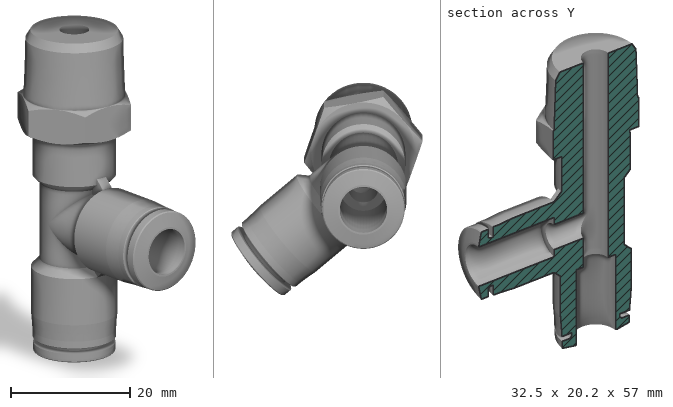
import cadquery as cq
import math


top_z = 33.2
thread_top_radius = 7.35
thread_start_radius = 8.2
thread_root_radius = 8.55
thread_chamfer_height = 1.4
hex_top_z = 21.8
hex_bottom_z = 15.75
hex_corner_diameter = 20.2
hex_chamfer_angle = 30

neck_radius = 5.8
upper_body_radius = 7.0
upper_cone_end_z = 7.7

arm_length = 23.8
arm_radius = 7.25
arm_cone_end = 8.5
taper_start = 16.65
taper_end = 19.6
arm_rim_radius = 7.0
groove_start = 20.9
groove_radius = 9.9 / 2
collar_start = 21.85
collar_radius = 13.8 / 2
collar_face_start = 23.35
collar_shoulder_radius = 6.7
collar_edge_start = 23.2
collar_face_radius = 4.3
rim_chamfer = 0.1
flare_start = 21.5
flare_radius = 5.25

flow_radius = 5.0 / 2
tube_radius = 7.9 / 2
tube_stop = arm_cone_end
web_thickness = 2.0


def arm():
    """Solid push-in arm running from the origin along +Z."""
    cone_start = arm_cone_end - (arm_radius - neck_radius)
    profile = [
        (0, 0),
        (neck_radius, 0),
        (neck_radius, cone_start),
        (arm_radius, arm_cone_end),
        (arm_radius, taper_start),
        (arm_rim_radius, taper_end),
        (arm_rim_radius, groove_start - rim_chamfer),
        (arm_rim_radius - rim_chamfer, groove_start),
        (groove_radius, groove_start),
        (groove_radius, flare_start),
        (flare_radius, collar_start),
        (collar_radius, collar_start),
        (collar_radius, collar_edge_start),
        (collar_shoulder_radius, collar_face_start),
        (collar_face_radius, arm_length),
        (0, arm_length),
    ]
    return cq.Workplane("XZ").polyline(profile).close().revolve(360, (0, 0), (0, 1))


def arm_bore():
    """Tube socket followed by the narrower flow passage, along +Z."""
    passage = cq.Workplane("XY").circle(flow_radius).extrude(arm_length)
    socket = cq.Workplane("XY").workplane(offset=tube_stop).circle(tube_radius)
    return passage.union(socket.extrude(arm_length - tube_stop))


def downward(shape):
    return shape.rotate((0, 0, 0), (1, 0, 0), 180)


def sideways(shape):
    return shape.rotate((0, 0, 0), (0, 1, 0), 90)


def upper_run():
    """Neck, shoulder and tapered thread above the origin."""
    cone_start_z = upper_cone_end_z - (upper_body_radius - neck_radius)
    profile = [
        (0, 0),
        (neck_radius, 0),
        (neck_radius, cone_start_z),
        (upper_body_radius, upper_cone_end_z),
        (upper_body_radius, hex_top_z),
        (thread_root_radius, hex_top_z),
        (thread_start_radius, top_z - thread_chamfer_height),
        (thread_top_radius, top_z),
        (0, top_z),
    ]
    return cq.Workplane("XZ").polyline(profile).close().revolve(360, (0, 0), (0, 1))


def hexagon():
    """Hexagon with corners on Y, its corners turned off at both ends."""
    corner_radius = hex_corner_diameter / 2
    flat_radius = corner_radius * math.cos(math.radians(30))
    drop = (corner_radius - flat_radius) * math.tan(math.radians(hex_chamfer_angle))
    prism = (
        cq.Workplane("XY").workplane(offset=hex_bottom_z)
        .polygon(6, hex_corner_diameter).extrude(hex_top_z - hex_bottom_z)
        .rotate((0, 0, 0), (0, 0, 1), 30)
    )
    turned_profile = [
        (0, hex_bottom_z),
        (flat_radius, hex_bottom_z),
        (corner_radius, hex_bottom_z + drop),
        (corner_radius, hex_top_z - drop),
        (flat_radius, hex_top_z),
        (0, hex_top_z),
    ]
    turned = cq.Workplane("XZ").polyline(turned_profile).close().revolve(360, (0, 0), (0, 1))
    return prism.intersect(turned)


def corner_webs():
    """Triangular plate whose 45 degree edges bridge the run and branch shoulders."""
    reach = arm_cone_end + arm_radius
    outer_x = arm_cone_end
    edge_z = reach - outer_x
    inner_x = upper_body_radius
    inner_z = reach - inner_x
    outline = [
        (0, -inner_z),
        (inner_x, -inner_z),
        (outer_x, -edge_z),
        (outer_x, edge_z),
        (inner_x, inner_z),
        (0, inner_z),
    ]
    return cq.Workplane("XZ").polyline(outline).close().extrude(web_thickness / 2, both=True)


body = upper_run().union(downward(arm())).union(sideways(arm()))
body = body.union(hexagon()).union(corner_webs())

upper_passage = cq.Workplane("XY").circle(flow_radius).extrude(top_z)
result = body.cut(upper_passage).cut(downward(arm_bore())).cut(sideways(arm_bore()))